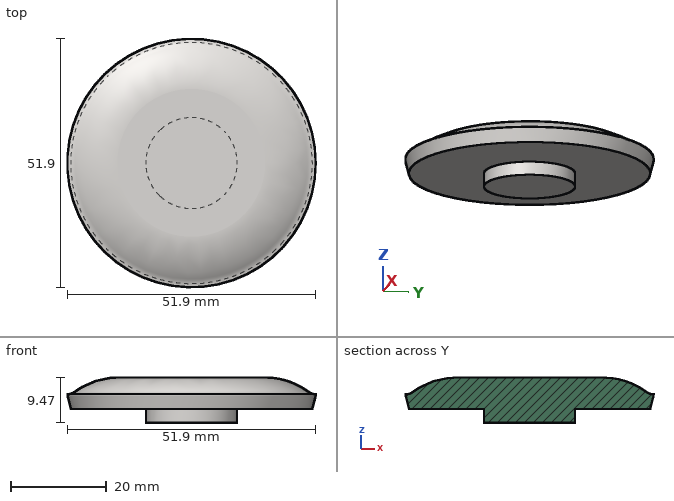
import cadquery as cq

rim_diameter = 51.88
base_diameter = 50.4
stem_diameter = 19.05
flat_diameter = 30.86
dome_diameter = 48.48
total_height = 9.47
stem_height = 2.82
taper_height = 2.82
rim_height = 0.31
flare_height = 0.62

base_z = stem_height
rim_bottom_z = base_z + taper_height
rim_top_z = rim_bottom_z + rim_height
dome_bottom_z = rim_top_z + flare_height


def half_profile():
    """Closed half section in the XZ plane, to be revolved about Z."""
    return (
        cq.Workplane("XZ")
        .moveTo(0, total_height)
        .lineTo(flat_diameter / 2, total_height)
        .tangentArcPoint((dome_diameter / 2, dome_bottom_z), relative=False)
        .tangentArcPoint((rim_diameter / 2, rim_top_z), relative=False)
        .lineTo(rim_diameter / 2, rim_bottom_z)
        .lineTo(base_diameter / 2, base_z)
        .lineTo(stem_diameter / 2, base_z)
        .lineTo(stem_diameter / 2, 0)
        .lineTo(0, 0)
        .close()
    )


result = half_profile().revolve(360, (0, 0, 0), (0, 1, 0))